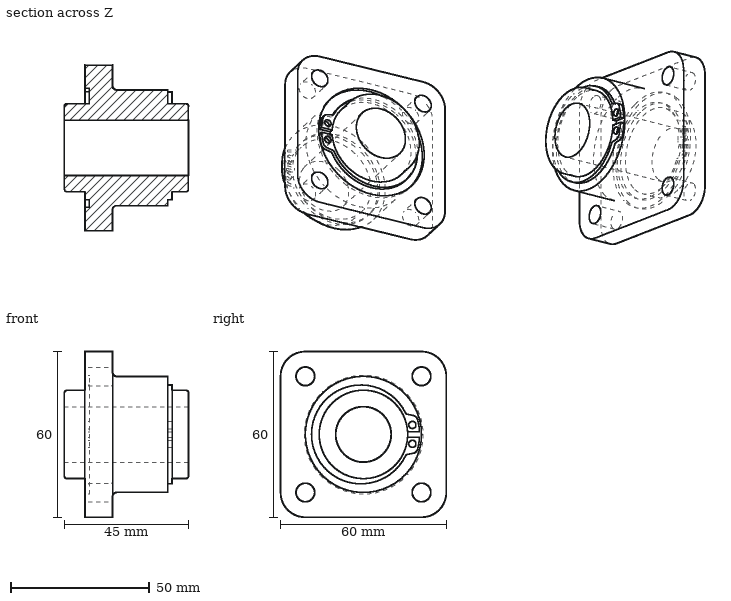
import cadquery as cq
import math


sleeve_length = 45.0
sleeve_diameter = 32.0
bore_diameter = 20.0
sleeve_edge_radius = 1.0

flange_size = 60.0
flange_start = 7.5
flange_thickness = 10.0
flange_corner_radius = 9.0
bolt_spacing = flange_size - 2 * flange_corner_radius
bolt_hole_diameter = 6.65

barrel_diameter = 42.0
barrel_end = sleeve_length - flange_start
barrel_root_radius = 1.5

ring_thickness = 1.5
recess_diameter = 42.95
ring_radius = 17.9
ring_offset = 0.9
ring_gap = 1.9
lug_radius = 20.3
lug_corner_height = 6.6
lug_root_y = 15.25
lug_root_height = 7.4
lug_corner_radius = 2.1
lug_root_radius = 0.9
lug_hole_diameter = 2.6
lug_hole_y = 17.7
lug_hole_height = 3.4


def disc(start, length, diameter):
    """Cylinder along X."""
    return cq.Workplane("YZ", origin=(start, 0, 0)).circle(diameter / 2).extrude(length)


def make_flange():
    plate = (
        cq.Workplane("YZ", origin=(flange_start, 0, 0))
        .rect(flange_size, flange_size)
        .extrude(flange_thickness)
        .edges("|X")
        .fillet(flange_corner_radius)
    )
    return (
        plate.faces("<X")
        .workplane(centerOption="CenterOfBoundBox")
        .rect(bolt_spacing, bolt_spacing, forConstruction=True)
        .vertices()
        .hole(bolt_hole_diameter)
    )


def make_barrel():
    """Barrel with a concave fillet where it meets the flange."""
    start = flange_start + flange_thickness
    radius = barrel_diameter / 2
    fillet_reach = barrel_root_radius * (1 - math.sqrt(0.5))
    return (
        cq.Workplane("XY")
        .moveTo(start, 0)
        .lineTo(start, radius + barrel_root_radius)
        .threePointArc(
            (start + fillet_reach, radius + fillet_reach),
            (start + barrel_root_radius, radius),
        )
        .lineTo(barrel_end, radius)
        .lineTo(barrel_end, 0)
        .close()
        .revolve(360, (0, 0, 0), (1, 0, 0))
    )


def make_ring(start):
    """Eccentric retaining ring with two plier lugs on the +Y side."""
    plane = cq.Workplane("YZ", origin=(start, 0, 0))
    lug_corner_y = math.sqrt(lug_radius**2 - lug_corner_height**2)
    lugs = (
        plane.moveTo(0, -lug_root_height)
        .lineTo(lug_root_y, -lug_root_height)
        .lineTo(lug_corner_y, -lug_corner_height)
        .threePointArc((lug_radius, 0), (lug_corner_y, lug_corner_height))
        .lineTo(lug_root_y, lug_root_height)
        .lineTo(0, lug_root_height)
        .close()
        .extrude(ring_thickness)
    )
    lug_corners = cq.selectors.BoxSelector(
        (start - 0.6, lug_corner_y - 0.6, -lug_radius),
        (start + ring_thickness + 0.6, lug_corner_y + 0.6, lug_radius),
    )
    lugs = lugs.edges("|X").edges(lug_corners).fillet(lug_corner_radius)
    rim = plane.center(-ring_offset, 0).circle(ring_radius).extrude(ring_thickness)
    ring = rim.union(lugs)
    lug_roots = cq.selectors.BoxSelector(
        (start - 0.6, lug_root_y - 0.6, -lug_root_height - 0.6),
        (start + ring_thickness + 0.6, lug_root_y + 0.6, lug_root_height + 0.6),
    )
    ring = ring.edges("|X").edges(lug_roots).fillet(lug_root_radius)
    gap = plane.center(lug_radius / 2, 0).rect(lug_radius + 0.6, ring_gap).extrude(ring_thickness)
    holes = (
        plane.pushPoints([(lug_hole_y, lug_hole_height), (lug_hole_y, -lug_hole_height)])
        .circle(lug_hole_diameter / 2)
        .extrude(ring_thickness)
    )
    return ring.cut(gap).cut(holes)


sleeve = disc(0, sleeve_length, sleeve_diameter).edges().fillet(sleeve_edge_radius)

housing = make_flange().union(make_barrel())
housing = housing.cut(disc(flange_start, ring_thickness, recess_diameter))

result = housing.union(sleeve)
for ring_start in (flange_start, barrel_end):
    result = result.union(make_ring(ring_start))
result = result.cut(disc(0, sleeve_length, bore_diameter))